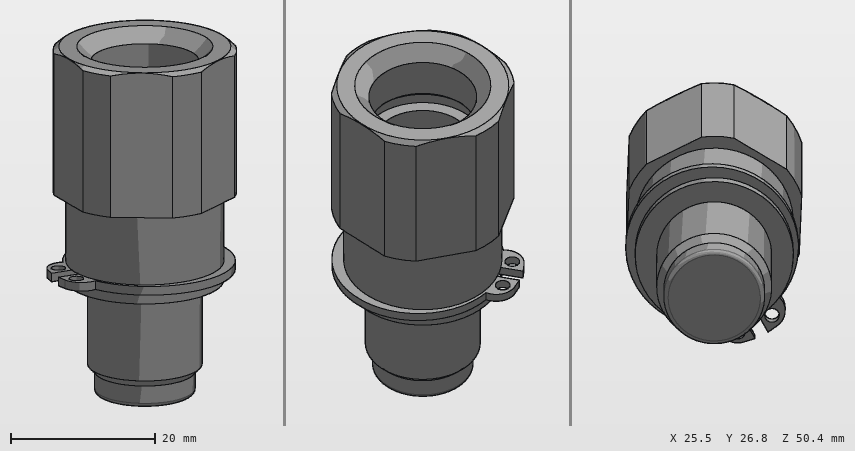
import cadquery as cq
import math

total_height = 50.4
hex_bottom = 29.3
ring_top = 19.15
ring_bottom = 17.9
shoulder_bottom = 16.4
barrel_bottom = 4.2
tip_top = 3.1

hex_corner_diameter = 25.5
hex_across_flats = 24.0
top_face_diameter = 23.9
body_diameter = 21.95
barrel_diameter = 16.0
tip_diameter = 14.0
tip_fillet = 0.6
top_chamfer_height = 0.5

mouth_diameter = 18.9
bore_diameter = 14.95
chamber_diameter = 17.0
inner_hole_diameter = 13.5
mouth_depth = 2.0
bore_depth = 7.55
chamber_depth = 10.05
undercut_height = (chamber_diameter - bore_diameter) / 2

groove_diameter = 20.0
ring_diameter = 24.0
ring_offset = 0.65
ear_gap = 2.0
ear_hole_diameter = 2.0
ear_hole_x = 2.65
ear_hole_y = -12.15
ear_root_x = 4.85
ear_corner = (2.55, -13.85)
ear_arc_middle = (4.25, -12.95)
ear_tip_y = -14.1


def make_cylinder(diameter, bottom, top):
    return cq.Workplane("XY").workplane(offset=bottom).circle(diameter / 2).extrude(top - bottom)


def make_cone(bottom_diameter, top_diameter, bottom, top):
    return (
        cq.Workplane("XY").workplane(offset=bottom).circle(bottom_diameter / 2)
        .workplane(offset=top - bottom).circle(top_diameter / 2).loft()
    )


def make_hex_head():
    """Hexagon with rounded corners and a chamfered top."""
    chamfer_bottom = total_height - top_chamfer_height
    envelope = make_cylinder(hex_corner_diameter, hex_bottom, chamfer_bottom)
    envelope = envelope.union(
        make_cone(hex_corner_diameter, top_face_diameter, chamfer_bottom, total_height)
    )
    sharp_corner_diameter = hex_across_flats / math.cos(math.pi / 6)
    hexagon = (
        cq.Workplane("XY").workplane(offset=hex_bottom)
        .polygon(6, sharp_corner_diameter).extrude(total_height - hex_bottom)
    )
    return envelope.intersect(hexagon)


def make_shank():
    """Body with the ring groove, then the barrel tapering to the rounded tip."""
    body = make_cylinder(body_diameter, shoulder_bottom, hex_bottom)
    groove = make_cylinder(body_diameter, ring_bottom, ring_top).cut(
        make_cylinder(groove_diameter, ring_bottom, ring_top)
    )
    barrel = make_cylinder(barrel_diameter, barrel_bottom, shoulder_bottom)
    taper = make_cone(tip_diameter, barrel_diameter, tip_top, barrel_bottom)
    tip = make_cylinder(tip_diameter, 0, tip_top).faces("<Z").edges().fillet(tip_fillet)
    return body.cut(groove).union(barrel).union(taper).union(tip)


def make_ear(side):
    """One ring ear with its plier hole; side is -1 for -X or 1 for +X."""
    ring_radius = ring_diameter / 2
    root_y = ring_offset - math.sqrt(ring_radius**2 - ear_root_x**2)
    inner_y = -groove_diameter / 2
    gap_x = side * ear_gap / 2
    return (
        cq.Workplane("XY").workplane(offset=ring_bottom)
        .moveTo(gap_x, inner_y)
        .lineTo(side * ear_root_x, root_y)
        .threePointArc(
            (side * ear_arc_middle[0], ear_arc_middle[1]), (side * ear_corner[0], ear_corner[1])
        )
        .lineTo(gap_x, ear_tip_y)
        .close()
        .extrude(ring_top - ring_bottom)
    )


def make_retaining_ring():
    """Open ring around the groove with an ear on each side of the gap."""
    thickness = ring_top - ring_bottom
    ring = make_cylinder(ring_diameter, ring_bottom, ring_top).translate((0, ring_offset, 0))
    for side in (-1, 1):
        ring = ring.union(make_ear(side))
    holes = (
        cq.Workplane("XY").workplane(offset=ring_bottom)
        .pushPoints([(-ear_hole_x, ear_hole_y), (ear_hole_x, ear_hole_y)])
        .circle(ear_hole_diameter / 2).extrude(thickness)
    )
    gap = (
        cq.Workplane("XY").workplane(offset=ring_bottom)
        .center(0, ear_tip_y / 2).rect(ear_gap, -ear_tip_y).extrude(thickness)
    )
    return ring.cut(holes).cut(gap)


def make_bore():
    """Flared mouth, bore, undercut chamber and blind inner hole."""
    mouth_bottom = total_height - mouth_depth
    bore_bottom = total_height - bore_depth
    chamber_top = bore_bottom - undercut_height
    chamber_bottom = total_height - chamber_depth
    sections = [
        make_cylinder(bore_diameter, bore_bottom, mouth_bottom),
        make_cone(chamber_diameter, bore_diameter, chamber_top, bore_bottom),
        make_cylinder(chamber_diameter, chamber_bottom, chamber_top),
        make_cylinder(inner_hole_diameter, shoulder_bottom, chamber_bottom),
    ]
    bore = make_cone(bore_diameter, mouth_diameter, mouth_bottom, total_height)
    for section in sections:
        bore = bore.union(section)
    return bore


result = make_hex_head().union(make_shank()).union(make_retaining_ring()).cut(make_bore())